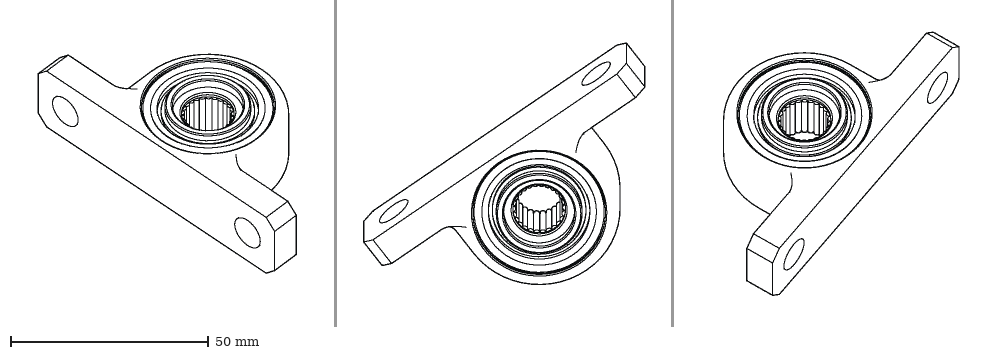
import cadquery as cq
import math

length = 82.5
width = 20.0
half_width = width / 2
axis_height = 19.0
foot_thickness = 8.0
foot_chamfer = 3.0
bolt_diameter = 8.9
bolt_spacing = 63.5
boss_radius = 20.55
boss_rounding = 3.3
root_radius = 3.1
bore_radius = 16.8
bore_chamfer = 0.3

race_height = 9.1
race_bore_radius = 12.9
bead_pitch_radius = 15.5
bead_radius = 1.0
groove_floor_height = 7.5
shield_radius = 11.9
shield_height = 8.3
inner_ring_radius = 10.9
inner_ring_height = 10.4
ring_chamfer = 0.3
counterbore_radius = 9.0
counterbore_height = 7.75
cage_bore_radius = 6.7
cage_chamfer = 0.4
roller_count = 26
roller_radius = 0.78
roller_tip_radius = 5.9
roller_height = 6.6

mounting_face_y = -axis_height
foot_top_y = mounting_face_y + foot_thickness


def make_foot():
    """Flat foot with chamfered corners and two bolt holes along Y."""
    foot = cq.Workplane("XY").box(length, foot_thickness, width)
    foot = foot.edges("|Y").chamfer(foot_chamfer)
    foot = foot.translate((0, mounting_face_y + foot_thickness / 2, 0))
    bolt_holes = (
        cq.Workplane("XZ", origin=(0, foot_top_y, 0))
        .pushPoints([(-bolt_spacing / 2, 0), (bolt_spacing / 2, 0)])
        .circle(bolt_diameter / 2)
        .extrude(foot_thickness)
    )
    return foot.cut(bolt_holes)


def make_boss():
    """U-shaped boss around the bore, with rounded rims, standing on the foot."""
    boss = (
        cq.Workplane("XY", origin=(0, 0, -half_width))
        .moveTo(-boss_radius, foot_top_y)
        .lineTo(-boss_radius, 0)
        .threePointArc((0, boss_radius), (boss_radius, 0))
        .lineTo(boss_radius, foot_top_y)
        .close()
        .extrude(width)
    )
    return boss.faces("<Z or >Z").edges("not <Y").fillet(boss_rounding)


def make_root_blend():
    """Concave blend on the +X side, following the flat side and rounded rims of the boss."""
    round_center_x = boss_radius - boss_rounding
    round_center_z = half_width - boss_rounding
    mid_offset = root_radius * (1 - math.sqrt(0.5))
    profile = (
        cq.Workplane("XY")
        .moveTo(0, foot_top_y)
        .lineTo(boss_rounding + root_radius, foot_top_y)
        .threePointArc(
            (boss_rounding + mid_offset, foot_top_y + mid_offset),
            (boss_rounding, foot_top_y + root_radius),
        )
        .lineTo(0, foot_top_y + root_radius)
        .close()
    )
    flare = profile.revolve(360, (0, 0, 0), (0, 1, 0))
    straight = profile.toPending().extrude(round_center_z, both=True).translate((round_center_x, 0, 0))
    blend = straight
    for center_z in (-round_center_z, round_center_z):
        blend = blend.union(flare.translate((round_center_x, 0, center_z)))
    return blend.intersect(cq.Workplane("XY").box(length, length, width))


def make_housing():
    """Foot, boss and root blends, with a chamfered through bore."""
    blend = make_root_blend()
    housing = make_foot().union(make_boss()).union(blend).union(blend.mirror("YZ"))
    mouth_radius = bore_radius + bore_chamfer
    chamfer_height = half_width - bore_chamfer
    bore = (
        cq.Workplane("XZ")
        .polyline([
            (0, -half_width),
            (mouth_radius, -half_width),
            (bore_radius, -chamfer_height),
            (bore_radius, chamfer_height),
            (mouth_radius, half_width),
            (0, half_width),
        ])
        .close()
        .revolve(360, (0, 0, 0), (0, 1, 0))
    )
    return housing.cut(bore)


def make_bearing():
    """Bearing with stepped faces, a bead on each race face and rollers lining the bore."""
    upper_profile = [
        (bore_radius, race_height),
        (race_bore_radius, race_height),
        (race_bore_radius, groove_floor_height),
        (shield_radius, groove_floor_height),
        (shield_radius, shield_height),
        (inner_ring_radius, shield_height),
        (inner_ring_radius, inner_ring_height - ring_chamfer),
        (inner_ring_radius - ring_chamfer, inner_ring_height),
        (counterbore_radius + ring_chamfer, inner_ring_height),
        (counterbore_radius, inner_ring_height - ring_chamfer),
        (counterbore_radius, counterbore_height),
        (cage_bore_radius + cage_chamfer, counterbore_height),
        (cage_bore_radius, counterbore_height - cage_chamfer),
    ]
    lower_profile = [(radius, -height) for radius, height in reversed(upper_profile)]
    bearing = (
        cq.Workplane("XZ")
        .polyline(upper_profile + lower_profile)
        .close()
        .revolve(360, (0, 0, 0), (0, 1, 0))
    )

    bead_height = half_width - bead_radius
    for center_z in (-bead_height, bead_height):
        bead = cq.Solid.makeTorus(bead_pitch_radius, bead_radius, cq.Vector(0, 0, center_z))
        bearing = bearing.union(cq.Workplane(obj=bead))

    rollers = (
        cq.Workplane("XY")
        .polarArray(roller_tip_radius + roller_radius, 90, 360, roller_count)
        .circle(roller_radius)
        .extrude(roller_height, both=True)
    )
    return bearing.union(rollers)


housing = make_housing()
bearing = make_bearing()
result = cq.Compound.makeCompound([housing.solids().val(), bearing.solids().val()])